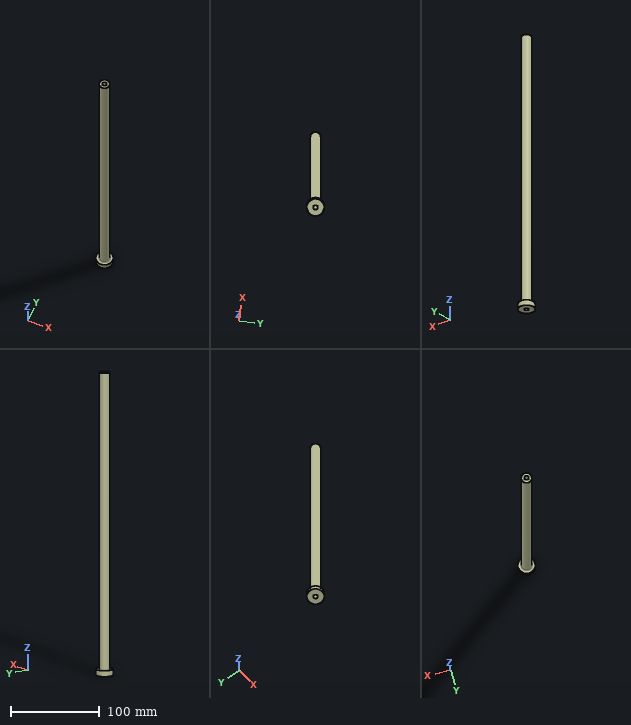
import cadquery as cq

total_length = 350.0
head_diameter = 20.0
head_height = 7.0
shank_diameter = 12.0
bore_diameter = 5.0
neck_fillet_radius = 0.5

head_radius = head_diameter / 2
shank_radius = shank_diameter / 2
bore_radius = bore_diameter / 2

wall_section = (
    cq.Workplane("XZ")
    .moveTo(-bore_radius, 0)
    .lineTo(-head_radius, 0)
    .lineTo(-head_radius, head_height)
    .lineTo(-shank_radius - neck_fillet_radius, head_height)
    .radiusArc((-shank_radius, head_height + neck_fillet_radius), -neck_fillet_radius)
    .lineTo(-shank_radius, total_length)
    .lineTo(-bore_radius, total_length)
    .close()
)

result = wall_section.revolve(360, (0, 0), (0, 1))